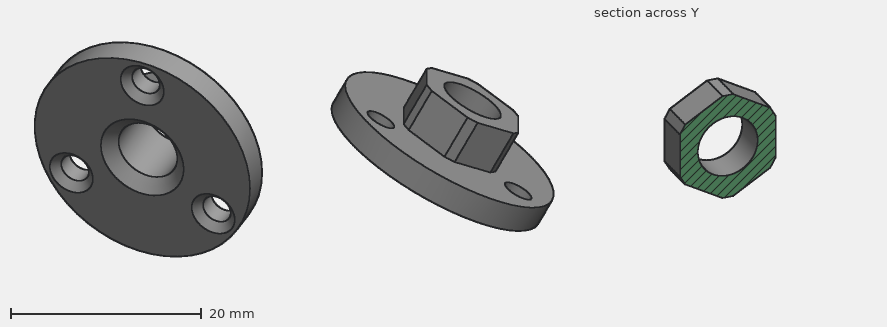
import cadquery as cq

flange_diameter = 25.0
flange_thickness = 3.0

boss_length = 5.0
boss_across_flats = 11.0
boss_across_corners = 12.0

bore_diameter = 6.8
bore_sink_diameter = 9.6

screw_count = 3
screw_circle_radius = 9.5
screw_hole_diameter = 3.2
screw_sink_diameter = 5.0

sink_angle = 90.0
total_depth = flange_thickness + boss_length


def make_flange():
    return cq.Workplane("XZ").circle(flange_diameter / 2).extrude(-flange_thickness)


def hexagon_prism(across_flats):
    """Hexagonal prism along +Y with two of its flats facing +/-X."""
    hexagon = cq.Workplane("XZ").polygon(6, across_flats, circumscribed=True)
    return hexagon.extrude(-total_depth)


def make_boss():
    """Hexagonal prism whose corners are cut flat by a second prism turned 30 degrees."""
    corner_cutter = hexagon_prism(boss_across_corners).rotate((0, 0, 0), (0, 1, 0), 30)
    return hexagon_prism(boss_across_flats).intersect(corner_cutter)


def drill_countersunk(pattern, hole_diameter, sink_diameter):
    """Drill through from the front face at every place in the pattern."""
    return pattern.cskHole(hole_diameter, sink_diameter, sink_angle)


def front_face(body):
    return body.faces("<Y").workplane(origin=(0, 0, 0))


body = make_flange().union(make_boss())
body = drill_countersunk(front_face(body), bore_diameter, bore_sink_diameter)

screw_places = front_face(body).polarArray(screw_circle_radius, 90, 360, screw_count)
result = drill_countersunk(screw_places, screw_hole_diameter, screw_sink_diameter)